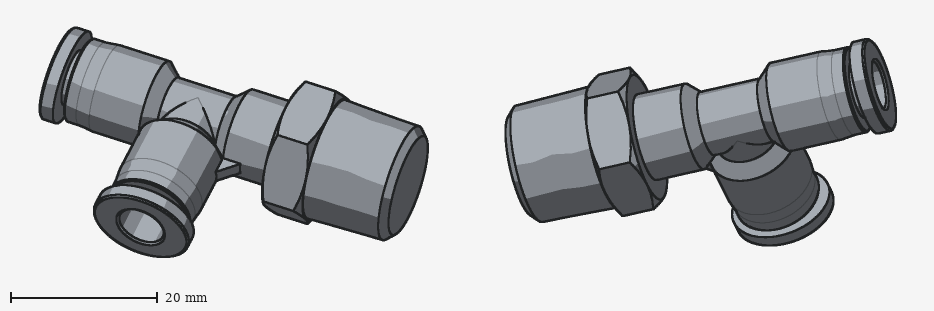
import cadquery as cq
import math


waist_end = 4.35
arm_start = 6.25
taper_start = 13.5
cap_start = 15.55
cap_end = 17.4
collar_start = 18.5
collar_face = 20.6
socket_floor = 10.3

waist_diameter = 8.9
arm_diameter = 12.4
cap_diameter = 11.9
cap_chamfer = 0.2

neck_diameter = 7.9
bore_diameter = 6.55
collar_width = 14.05
collar_height = 11.9
collar_chamfer = 0.25
bore_chamfer = 0.3

arm_angles = [180, -90]

tail_diameter = 12.0
tail_start = 6.15
rib_thickness = 2.0
rib_root = 4.65
rib_reach = 14.65

hex_start = 13.0
hex_end = 19.0
hex_flats = 17.45
hex_corners = hex_flats / math.cos(math.pi / 6)
hex_chamfer_angle = 30
thread_end = 51.6 - collar_face
thread_root_diameter = 17.05
thread_taper = 1 / 16
thread_chamfer = 1.1


def turned(profile):
    """Revolve an outline of (distance along X, radius) points about the X axis."""
    return cq.Workplane("XY").polyline(profile).close().revolve(360, (0, 0, 0), (1, 0, 0))


def placed(body, angle):
    """Swing a body that was made along +X to its direction about the Z axis."""
    return body.rotate((0, 0, 0), (0, 0, 1), angle)


def make_arm():
    cap_radius = cap_diameter / 2
    return turned([
        (0, 0),
        (0, waist_diameter / 2),
        (waist_end, waist_diameter / 2),
        (arm_start, arm_diameter / 2),
        (taper_start, arm_diameter / 2),
        (cap_start, cap_radius),
        (cap_end - cap_chamfer, cap_radius),
        (cap_end, cap_radius - cap_chamfer),
        (cap_end, 0),
    ])


def make_tail():
    return turned([
        (0, 0),
        (0, waist_diameter / 2),
        (waist_end, waist_diameter / 2),
        (tail_start, tail_diameter / 2),
        (hex_start, tail_diameter / 2),
        (hex_start, 0),
    ])


def make_rib():
    """Triangular web whose two straight sides are buried in the walls of the arms."""
    tip = rib_reach - rib_root
    outline = [(rib_root, -rib_root), (tip, -rib_root), (rib_root, -tip)]
    return cq.Workplane("XY").polyline(outline).close().extrude(rib_thickness / 2, both=True)


def make_housing():
    body = make_tail()
    for angle in arm_angles:
        body = body.union(placed(make_arm(), angle))
    body = body.union(make_rib())
    socket = (
        cq.Workplane("YZ", origin=(socket_floor, 0, 0))
        .circle(neck_diameter / 2)
        .extrude(cap_end - socket_floor)
    )
    for angle in arm_angles:
        body = body.cut(placed(socket, angle))
    return body


def make_release_ring():
    """Oval collar on a round neck that reaches the socket floor, bored through."""
    collar = (
        cq.Workplane("YZ", origin=(collar_start, 0, 0))
        .ellipse(collar_width / 2, collar_height / 2)
        .extrude(collar_face - collar_start)
        .faces(">X").chamfer(collar_chamfer)
    )
    neck = (
        cq.Workplane("YZ", origin=(socket_floor, 0, 0))
        .circle(neck_diameter / 2)
        .extrude(collar_start - socket_floor)
    )
    bore = (
        cq.Workplane("YZ", origin=(socket_floor, 0, 0))
        .circle(bore_diameter / 2)
        .extrude(collar_face - socket_floor)
    )
    bore_radius = bore_diameter / 2
    countersink = turned([
        (collar_face - bore_chamfer, 0),
        (collar_face - bore_chamfer, bore_radius),
        (collar_face, bore_radius + bore_chamfer),
        (collar_face, 0),
    ])
    return collar.union(neck).cut(bore).cut(countersink)


def make_hexagon():
    """Hexagon with flats facing up and down, its corners turned off at both ends."""
    prism = (
        cq.Workplane("YZ", origin=(hex_start, 0, 0))
        .polygon(6, hex_corners)
        .extrude(hex_end - hex_start)
    )
    corner_drop = (hex_corners - hex_flats) / 2 * math.tan(math.radians(hex_chamfer_angle))
    envelope = turned([
        (hex_start, 0),
        (hex_start, hex_flats / 2),
        (hex_start + corner_drop, hex_corners / 2),
        (hex_end - corner_drop, hex_corners / 2),
        (hex_end, hex_flats / 2),
        (hex_end, 0),
    ])
    return prism.intersect(envelope)


def make_threaded_end():
    chamfer_start = thread_end - thread_chamfer
    root_radius = thread_root_diameter / 2
    tip_radius = root_radius - (chamfer_start - hex_end) * thread_taper / 2
    thread = turned([
        (hex_end, 0),
        (hex_end, root_radius),
        (chamfer_start, tip_radius),
        (thread_end, tip_radius - thread_chamfer),
        (thread_end, 0),
    ])
    return make_hexagon().union(thread)


housing = make_housing()
threaded_end = make_threaded_end()
release_rings = [placed(make_release_ring(), angle) for angle in arm_angles]

result = cq.Compound.makeCompound([
    housing.val(),
    threaded_end.val(),
    *[ring.val() for ring in release_rings],
])